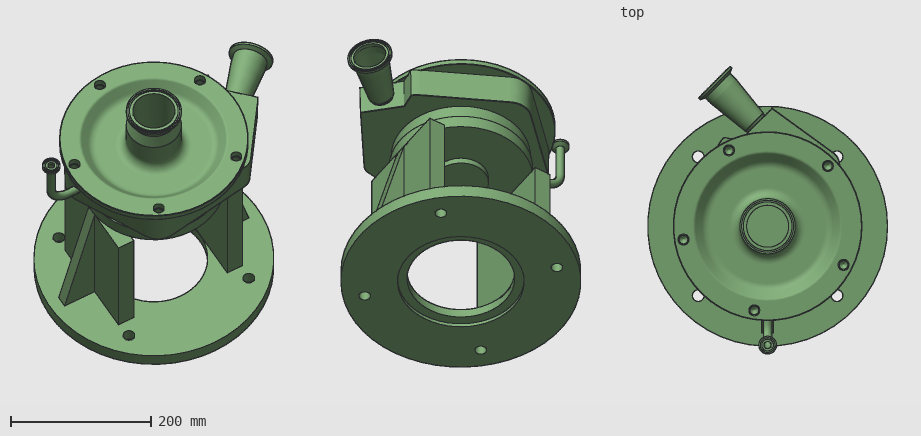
import cadquery as cq
import math

base_top = 21.5
support_top = 211.3
ring_top = 232.2
casing_bottom = 256.0
flange_bottom = 306.2
flange_top = 316.0
neck_shoulder = 350.2
neck_cone_top = 367.5
neck_top = 385.0

base_radius = 171.5
base_opening_radius = 77.0
base_relief_radius = 90.5
base_relief_depth = 6.0
base_hole_radius = 8.2
base_hole_circle = 140.0
base_hole_count = 4
first_base_hole_angle = 45

plate_width = 151.3
plate_inner = 77.3
plate_outer = 102.8
rib_width = 17.0
rib_foot = 152.5

ring_radius = 102.8
spigot_radius = 99.5
stub_radius = 39.5
stub_bottom = 201.5

lobe_count = 5
lobe_step = 360 / lobe_count
first_lobe_angle = 45
casing_apothem = 115.5
lobe_round = 34.5
casing_draft = 1
casing_edge_chamfer = 1.0

discharge_angle = 135
shoulder_face = 114.5
shoulder_offset = 123.7
shoulder_side_angle = 54
shoulder_round = 20.5
blunt_corner_reach = 134.0
blunt_corner_run = 12.7

flange_radius = 135.0
flange_edge_chamfer = 1.0
screw_circle = 121.5
screw_clearance_radius = 8.0
screw_thread_radius = 6.0
screw_hole_depth = 20.5

recess_wall_angle = 45
recess_depth = 16.0
recess_floor_radius = 82.5
recess_fillet = 15.0
recess_lip_radius = 5.5

neck_radius = 39.5
neck_tube_radius = 32.5
neck_bore_radius = 30.0

ferrule_disc = 3.5
ferrule_height = 7.0
groove_depth = 1.0

outlet_offset = 91.5
outlet_tip = 199.5
outlet_cone_start = 180.0
outlet_cone_end = 119.0
outlet_ferrule_radius = 32.0
outlet_tube_radius = 25.0
outlet_end_radius = 18.5
outlet_root_radius = 16.5
outlet_wall = 1.5

pipe_radius = 6.0
pipe_bore_radius = 5.0
pipe_ferrule_radius = 12.7
pipe_level = 282.0
pipe_reach = 169.8
pipe_top = 371.5
pipe_bend = 28.8
pipe_start = 115.0


def polar(radius, angle):
    return (radius * math.cos(math.radians(angle)), radius * math.sin(math.radians(angle)))


def on_arc(centre_a, centre_b, radius, angle):
    """Point at an angle on a circle about the given centre."""
    a, b = polar(radius, angle)
    return (centre_a + a, centre_b + b)


def cylinder(radius, low, high):
    return cq.Workplane("XY").workplane(offset=low).circle(radius).extrude(high - low)


def revolve_profile(points):
    """Turn (radius, height) points about the Z axis."""
    return cq.Workplane("XZ").polyline(points).close().revolve(360, (0, 0), (0, 1))


def ferrule(outer_radius, tube_radius, tip):
    """Clamp ferrule facing up at height tip, with a gasket groove in its face."""
    body = revolve_profile([
        (0, tip),
        (outer_radius, tip),
        (outer_radius, tip - ferrule_disc),
        (tube_radius, tip - ferrule_height),
        (0, tip - ferrule_height),
    ])
    land = (outer_radius - tube_radius) / 3
    groove = cylinder(outer_radius - land, tip - groove_depth, tip)
    return body.cut(groove.cut(cylinder(tube_radius + land, tip - groove_depth, tip)))


def line_crossing(angle_a, distance_a, angle_b, distance_b):
    """Crossing of two lines given by normal angle and distance from the origin."""
    ax, ay = polar(1, angle_a)
    bx, by = polar(1, angle_b)
    det = ax * by - ay * bx
    return ((distance_a * by - distance_b * ay) / det, (ax * distance_b - bx * distance_a) / det)


def base_plate():
    """Drilled disc whose central opening widens on the underside."""
    plate = cylinder(base_radius, 0, base_top)
    opening = cylinder(base_opening_radius, 0, base_top)
    holes = (
        cq.Workplane("XY")
        .polarArray(base_hole_circle, first_base_hole_angle, 360, base_hole_count)
        .circle(base_hole_radius)
        .extrude(base_top)
    )
    relief = cylinder(base_relief_radius, 0, base_relief_depth)
    return plate.cut(opening).cut(relief).cut(holes)


def support():
    """Upright on the +Y side."""
    plate = cq.Workplane("XY").box(
        plate_width, plate_outer - plate_inner, support_top - base_top, centered=(True, False, False)
    ).translate((0, plate_inner, base_top))
    rib = (
        cq.Workplane("YZ")
        .polyline([(plate_outer, base_top), (rib_foot, base_top), (plate_outer, support_top)])
        .close()
        .extrude(rib_width / 2, both=True)
    )
    return plate.union(rib)


def rings():
    """Mounting ring, the spigot above it and the shaft stub below."""
    mounting_ring = cylinder(ring_radius, support_top, ring_top)
    spigot = cylinder(spigot_radius, ring_top, casing_bottom)
    stub = cylinder(stub_radius, stub_bottom, support_top)
    return mounting_ring.union(spigot).union(stub)


def corner_round(radius, angle_a, distance_a, angle_b, distance_b):
    """Start, middle and end of the arc rounding the corner between two lines, from line b to line a."""
    cx, cy = line_crossing(angle_a, distance_a - radius, angle_b, distance_b - radius)
    return [on_arc(cx, cy, radius, angle) for angle in (angle_b, (angle_a + angle_b) / 2, angle_a)]


def casing():
    """Drafted block with rounded lobes and the discharge shoulder."""
    flats = [first_lobe_angle + lobe_step * (i - 0.5) for i in range(lobe_count)]
    first_flat, shoulder_flat, blunt_flat = flats[:3]

    corner_x, corner_y = line_crossing(blunt_flat, casing_apothem, shoulder_flat, casing_apothem)
    blunt_start = on_arc(corner_x, corner_y, blunt_corner_run, blunt_flat + 90)
    blunt_tip = line_crossing(shoulder_flat, casing_apothem, discharge_angle, blunt_corner_reach)

    shoulder_root = line_crossing(shoulder_flat, casing_apothem, discharge_angle, shoulder_face)
    shoulder_corner = line_crossing(discharge_angle, shoulder_face, discharge_angle - 90, shoulder_offset)
    side_x, side_y = polar(1, shoulder_side_angle)
    side_distance = shoulder_corner[0] * side_x + shoulder_corner[1] * side_y
    side_start, side_middle, side_end = corner_round(
        shoulder_round, first_flat, casing_apothem, shoulder_side_angle, side_distance
    )

    outline = (
        cq.Workplane("XY")
        .workplane(offset=flange_bottom)
        .moveTo(*side_start)
        .threePointArc(side_middle, side_end)
    )

    for flat in reversed(flats[2:]):
        start, middle, end = corner_round(
            lobe_round, flat, casing_apothem, flat + lobe_step, casing_apothem
        )
        outline = outline.lineTo(*start).threePointArc(middle, end)

    return (
        outline.lineTo(*blunt_start)
        .tangentArcPoint(blunt_tip, relative=False)
        .lineTo(*shoulder_root)
        .lineTo(*shoulder_corner)
        .close()
        .extrude(casing_bottom - flange_bottom, taper=casing_draft)
        .faces("<Z")
        .chamfer(casing_edge_chamfer)
    )


def flange():
    return cylinder(flange_radius, flange_bottom, flange_top).edges().chamfer(flange_edge_chamfer)


def screw_holes():
    """Clearance holes through the flange, then narrower holes with conical ends in the casing."""
    hole = revolve_profile([
        (0, flange_top),
        (screw_clearance_radius, flange_top),
        (screw_clearance_radius, flange_bottom),
        (screw_thread_radius, flange_bottom),
        (screw_thread_radius, flange_top - screw_hole_depth),
        (0, flange_top - screw_hole_depth - screw_thread_radius),
    ])
    holes = cq.Workplane("XY")
    for i in range(lobe_count):
        x, y = polar(screw_circle, first_lobe_angle + lobe_step * i)
        holes = holes.add(hole.translate((x, y, 0)))
    return holes.combine()


def recess():
    """Dish around the neck: rounded lip, conical wall, and a floor blended into wall and neck."""
    floor = flange_top - recess_depth
    blend_centre_z = floor + recess_fillet
    lip_centre_z = flange_top - recess_lip_radius

    neck_middle = on_arc(neck_radius + recess_fillet, blend_centre_z, recess_fillet, 225)
    foot_middle = on_arc(recess_floor_radius, blend_centre_z, recess_fillet, recess_wall_angle / 2 - 90)
    wall_foot = on_arc(recess_floor_radius, blend_centre_z, recess_fillet, recess_wall_angle - 90)

    lip_start_r, lip_start_z = on_arc(0, lip_centre_z, recess_lip_radius, recess_wall_angle + 90)
    wall_run = (lip_start_z - wall_foot[1]) / math.tan(math.radians(recess_wall_angle))
    wall_head = (wall_foot[0] + wall_run, lip_start_z)
    lip_edge = wall_head[0] - lip_start_r
    lip_middle = on_arc(lip_edge, lip_centre_z, recess_lip_radius, recess_wall_angle / 2 + 90)

    return (
        cq.Workplane("XZ")
        .moveTo(neck_radius, flange_top)
        .lineTo(neck_radius, floor + recess_fillet)
        .threePointArc(neck_middle, (neck_radius + recess_fillet, floor))
        .lineTo(recess_floor_radius, floor)
        .threePointArc(foot_middle, wall_foot)
        .lineTo(*wall_head)
        .threePointArc(lip_middle, (lip_edge, flange_top))
        .close()
        .revolve(360, (0, 0), (0, 1))
    )


def neck():
    """Suction tube narrowing to its ferrule, before boring."""
    tube = revolve_profile([
        (0, flange_top - recess_depth),
        (neck_radius, flange_top - recess_depth),
        (neck_radius, neck_shoulder),
        (neck_tube_radius, neck_cone_top),
        (neck_tube_radius, neck_top - ferrule_height),
        (0, neck_top - ferrule_height),
    ])
    return tube.union(ferrule(neck_radius, neck_tube_radius, neck_top))


def aim_outlet(solid):
    """Move a solid built up the Z axis onto the outlet axis."""
    x, y = polar(outlet_offset, discharge_angle - 90)
    return (
        solid.rotate((0, 0, 0), (0, 1, 0), 90)
        .rotate((0, 0, 0), (0, 0, 1), discharge_angle)
        .translate((x, y, (casing_bottom + flange_bottom) / 2))
    )


def outlet():
    """Conical nozzle, hollow down to the casing face."""
    tube = revolve_profile([
        (0, shoulder_face - outlet_wall),
        (outlet_root_radius, shoulder_face - outlet_wall),
        (outlet_root_radius, shoulder_face),
        (outlet_end_radius, outlet_cone_end),
        (outlet_tube_radius, outlet_cone_start),
        (outlet_tube_radius, outlet_tip - ferrule_height),
        (0, outlet_tip - ferrule_height),
    ])
    bore = revolve_profile([
        (0, shoulder_face),
        (outlet_end_radius - outlet_wall, outlet_cone_end),
        (outlet_tube_radius - outlet_wall, outlet_cone_start),
        (outlet_tube_radius - outlet_wall, outlet_tip),
        (0, outlet_tip),
    ])
    tip = ferrule(outlet_ferrule_radius, outlet_tube_radius, outlet_tip)
    return aim_outlet(tube.union(tip).cut(bore))


def drain_run(radius):
    """Round bar from the casing outward along -Y, turning up to the drain ferrule."""
    path = (
        cq.Workplane("YZ")
        .moveTo(-pipe_start, pipe_level)
        .lineTo(pipe_bend - pipe_reach, pipe_level)
        .tangentArcPoint((-pipe_reach, pipe_level + pipe_bend), relative=False)
        .lineTo(-pipe_reach, pipe_top)
    )
    return cq.Workplane("XZ", origin=(0, -pipe_start, pipe_level)).circle(radius).sweep(path)


def drain_pipe():
    tip = ferrule(pipe_ferrule_radius, pipe_radius, pipe_top).translate((0, -pipe_reach, 0))
    return drain_run(pipe_radius).union(tip)


right_support = support()
stand = base_plate().union(right_support).union(right_support.mirror("XZ")).union(rings())
head = casing().union(flange()).cut(recess()).union(neck())
head = head.cut(screw_holes()).cut(cylinder(neck_bore_radius, casing_bottom, neck_top))
pump = head.union(outlet()).union(drain_pipe()).cut(drain_run(pipe_bore_radius))
result = stand.union(pump)